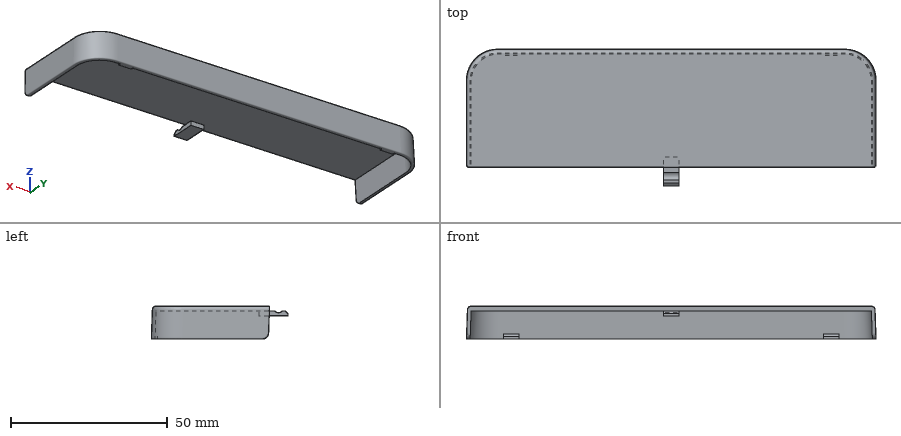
import cadquery as cq
import math

WIDTH = 130.64
DEPTH = 37.38
HEIGHT = 10.5
DRAFT_ANGLE = 2.0
LEAN = math.tan(math.radians(DRAFT_ANGLE))

PLATE = 1.5
WALL = 1.2
CORNER_RADIUS = 10.0
TOP_RADIUS = 1.2
TOE_RADIUS = 2.0
RIM_RADIUS = 0.35
FRONT_OVERLAP = 5.0

TONGUE_WIDTH = 5.0
TONGUE_THICKNESS = 1.6
TONGUE_REACH = 5.92
TONGUE_ROOT = 3.0
NOSE_LENGTH = 1.0
NOSE_DROP = 0.9
NOSE_LAND = 0.9
GROOVE_WIDTH = 2.4
GROOVE_DEPTH = 0.55

CATCH_WIDTH = 5.0
CATCH_OFFSET = 51.0
CATCH_HEIGHT = 1.6
CATCH_FACE = 0.8
CATCH_DEPTH = 0.8


def drafted_block(inset, height):
    """Block with rounded back corners that narrows upward, set in from the outer walls."""
    front = -FRONT_OVERLAP
    back = DEPTH - inset
    block = (
        cq.Workplane()
        .center(0, (front + back) / 2)
        .rect(WIDTH - 2 * inset, back - front)
        .extrude(height, taper=DRAFT_ANGLE)
    )
    return block.faces(">Y").edges("not |X").fillet(CORNER_RADIUS - inset)


def front_trim():
    """Prism behind the leaning front face, with the rounded toe at its foot."""
    top_front = -HEIGHT * LEAN
    prism = (
        cq.Workplane("YZ")
        .lineTo(top_front, HEIGHT)
        .lineTo(DEPTH, HEIGHT)
        .lineTo(DEPTH, 0)
        .close()
        .extrude(WIDTH / 2, both=True)
    )
    return prism.faces("<Z").edges("<Y").fillet(TOE_RADIUS)


def make_shell():
    """Top plate with a side wall at each end and a back wall, open in front and below."""
    body = drafted_block(0, HEIGHT)
    body = body.faces(">Z").edges("not <Y").fillet(TOP_RADIUS)
    body = body.intersect(front_trim())
    rim = body.faces("<Z or <Y").edges()
    body = rim.fillet(RIM_RADIUS)
    return body.cut(drafted_block(WALL, HEIGHT - PLATE))


def make_tongue():
    """Tongue under the plate, with a sloped nose and a shallow round groove on top."""
    top = HEIGHT - PLATE
    bottom = top - TONGUE_THICKNESS
    tip = -HEIGHT * LEAN - TONGUE_REACH
    land_start = tip + NOSE_LENGTH
    groove_start = land_start + NOSE_LAND
    groove_end = groove_start + GROOVE_WIDTH
    groove_middle = (groove_start + groove_end) / 2
    return (
        cq.Workplane("YZ")
        .moveTo(tip, bottom)
        .lineTo(tip, top - NOSE_DROP)
        .lineTo(land_start, top)
        .lineTo(groove_start, top)
        .threePointArc((groove_middle, top - GROOVE_DEPTH), (groove_end, top))
        .lineTo(TONGUE_ROOT, top)
        .lineTo(TONGUE_ROOT, bottom)
        .close()
        .extrude(TONGUE_WIDTH / 2, both=True)
    )


def make_catch(x_middle):
    """Wedge-topped catch at the foot of the back wall, facing into the shell."""
    wall_middle = DEPTH - WALL / 2
    wall_inside = DEPTH - WALL
    face = wall_inside - CATCH_DEPTH
    return (
        cq.Workplane("YZ", origin=(x_middle, 0, 0))
        .moveTo(wall_middle, 0)
        .lineTo(face, 0)
        .lineTo(face, CATCH_FACE)
        .lineTo(wall_inside, CATCH_HEIGHT)
        .lineTo(wall_middle, CATCH_HEIGHT)
        .close()
        .extrude(CATCH_WIDTH / 2, both=True)
    )


result = make_shell().union(make_tongue())
for side in (-1, 1):
    result = result.union(make_catch(side * CATCH_OFFSET))